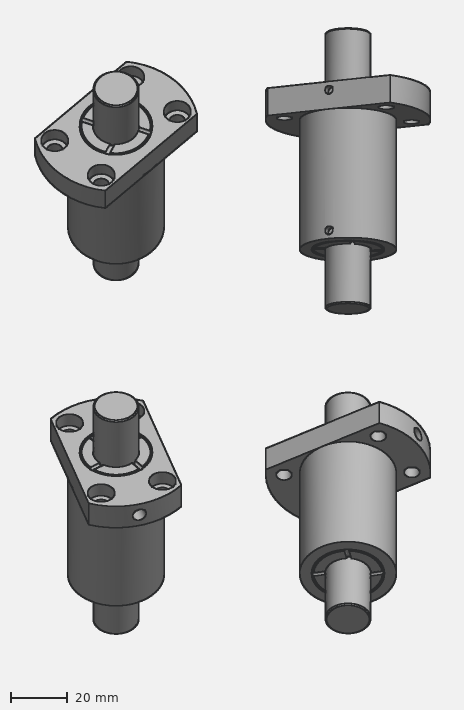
import cadquery as cq
import math

shaft_diameter = 16.0
shaft_length = 100.0
shaft_chamfer = 0.5

body_diameter = 34.0
body_length = 57.0
flange_thickness = 10.0
flange_diameter = 58.0
flange_width = body_diameter
body_bottom = (shaft_length - body_length) / 2
body_top = body_bottom + body_length
flange_bottom = body_top - flange_thickness

bolt_circle_diameter = 45.0
bolt_angles = (60, 120, 240, 300)
bolt_hole_diameter = 5.5
counterbore_diameter = 9.5
counterbore_depth = 5.4

pin_hole_diameter = 3.0
pin_hole_depth = 3.0
pin_hole_inset = 3.0
port_diameter = 4.9
port_depth = 5.0

bore_diameter = 16.2
bore_gap_depth = 1.0
seal_diameter = 25.7
seal_groove_width = 0.8
seal_groove_depth = 0.4
wiper_slot_count = 4
wiper_slot_angle = 20
wiper_slot_offset = 2.0
wiper_slot_end_radius = 12.5
wiper_slot_width = 1.6


def make_shaft():
    shaft = cq.Workplane("XY").circle(shaft_diameter / 2).extrude(shaft_length)
    return shaft.faces("<Z or >Z").chamfer(shaft_chamfer)


def make_body():
    barrel = (
        cq.Workplane("XY")
        .workplane(offset=body_bottom)
        .circle(body_diameter / 2)
        .extrude(body_length)
    )
    flange_plane = cq.Workplane("XY").workplane(offset=flange_bottom)
    flange = flange_plane.circle(flange_diameter / 2).extrude(flange_thickness)
    flats = flange_plane.rect(flange_width, flange_diameter).extrude(flange_thickness)
    return barrel.union(flange.intersect(flats))


def drill_mounting_holes(body):
    radius = bolt_circle_diameter / 2
    centers = [
        (radius * math.cos(math.radians(angle)), radius * math.sin(math.radians(angle)))
        for angle in bolt_angles
    ]
    return (
        body.faces(">Z")
        .workplane(origin=(0, 0, body_top))
        .pushPoints(centers)
        .cboreHole(bolt_hole_diameter, counterbore_diameter, counterbore_depth)
    )


def side_pocket(start, direction, diameter, depth):
    return cq.Workplane(
        cq.Solid.makeCylinder(diameter / 2, depth, cq.Vector(*start), cq.Vector(*direction))
    )


def cut_side_pockets(body):
    upper_height = body_top - pin_hole_inset
    for height in (body_bottom + pin_hole_inset, upper_height):
        start = (-body_diameter / 2, 0, height)
        body = body.cut(side_pocket(start, (1, 0, 0), pin_hole_diameter, pin_hole_depth))
    port_start = (0, flange_diameter / 2, (flange_bottom + body_top) / 2)
    return body.cut(side_pocket(port_start, (0, -1, 0), port_diameter, port_depth))


def make_ring_grooves():
    """Return the two circular grooves in the upper end face."""
    seal_radius = seal_diameter / 2
    bore_gap = (
        cq.Workplane("XY")
        .workplane(offset=body_top - bore_gap_depth)
        .circle(bore_diameter / 2)
        .circle(shaft_diameter / 2)
        .extrude(bore_gap_depth)
    )
    seal_groove = (
        cq.Workplane("XZ")
        .moveTo(seal_radius, body_top)
        .lineTo(seal_radius - seal_groove_width / 2, body_top - seal_groove_depth)
        .lineTo(seal_radius - seal_groove_width, body_top)
        .close()
        .revolve(360, (0, 0, 0), (0, 1, 0))
    )
    return [bore_gap, seal_groove]


def make_wiper_slots():
    """Return half-round slots in the upper end face, each running parallel to a radius."""
    slot = cq.Workplane(
        cq.Solid.makeCylinder(
            wiper_slot_width / 2,
            wiper_slot_end_radius,
            cq.Vector(0, wiper_slot_offset, body_top),
            cq.Vector(1, 0, 0),
        )
    )
    slot_limit = (
        cq.Workplane("XY")
        .workplane(offset=body_bottom)
        .circle(wiper_slot_end_radius)
        .circle(shaft_diameter / 2)
        .extrude(body_length)
    )
    slot = slot.intersect(slot_limit)
    return [
        slot.rotate((0, 0, 0), (0, 0, 1), wiper_slot_angle + index * 360 / wiper_slot_count)
        for index in range(wiper_slot_count)
    ]


def cut_end_grooves(body):
    for groove in make_ring_grooves() + make_wiper_slots():
        body = body.cut(groove)
        body = body.cut(groove.mirror("XY", (0, 0, shaft_length / 2)))
    return body


body = cut_side_pockets(drill_mounting_holes(make_body()))
result = cut_end_grooves(body.union(make_shaft()))